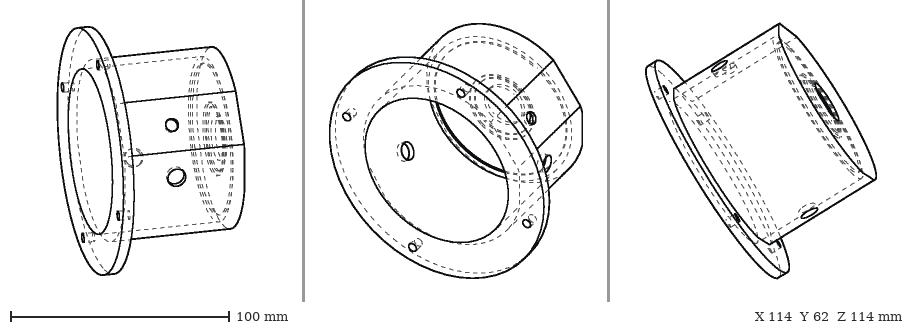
import cadquery as cq
import math

LENGTH = 62.0
FLANGE_RADIUS = 57.0
FLANGE_THICKNESS = 5.0
BARREL_RADIUS = 42.0

BORE_STEPS = [(38.1, 57.0), (35.0, 58.0), (17.0, 59.0), (14.9, 60.0)]
SHAFT_HOLE_RADIUS = 10.0

SCREW_HOLE_RADIUS = 2.0
SCREW_CIRCLE_RADIUS = 49.5
SCREW_COUNT = 4
FIRST_SCREW_ANGLE = 75

FLATS = [(0, 40.9, 4.2), (35, 40.0, 3.0), (210, 40.9, 4.2)]
SIDE_HOLE_Y = 29.8


def cylinder(radius, length):
    """Cylinder on the housing axis, from the flange face toward +Y."""
    return cq.Workplane("XZ").circle(radius).extrude(-length)


def cut_flat(body, angle, distance):
    """Slice the barrel, behind the flange, with a plane facing the given angle."""
    waste = (
        cq.Workplane("XY")
        .box(BARREL_RADIUS, LENGTH - FLANGE_THICKNESS, 2 * BARREL_RADIUS, centered=(False, False, True))
        .translate((distance, FLANGE_THICKNESS, 0))
        .rotate((0, 0, 0), (0, 1, 0), -angle)
    )
    return body.cut(waste)


def cut_side_hole(body, angle, radius):
    """Drill from the axis outward through one side of the barrel wall."""
    direction = cq.Vector(math.cos(math.radians(angle)), 0, math.sin(math.radians(angle)))
    drill = cq.Solid.makeCylinder(radius, BARREL_RADIUS, cq.Vector(0, SIDE_HOLE_Y, 0), direction)
    return body.cut(cq.Workplane(obj=drill))


result = cylinder(BARREL_RADIUS, LENGTH).union(cylinder(FLANGE_RADIUS, FLANGE_THICKNESS))
for flat_angle, flat_distance, _ in FLATS:
    result = cut_flat(result, flat_angle, flat_distance)

for step_radius, step_depth in BORE_STEPS:
    result = result.cut(cylinder(step_radius, step_depth))
result = result.cut(cylinder(SHAFT_HOLE_RADIUS, LENGTH))

for flat_angle, _, hole_radius in FLATS:
    result = cut_side_hole(result, flat_angle, hole_radius)

screw_holes = (
    cq.Workplane("XZ")
    .polarArray(SCREW_CIRCLE_RADIUS, FIRST_SCREW_ANGLE, 360, SCREW_COUNT)
    .circle(SCREW_HOLE_RADIUS)
    .extrude(-FLANGE_THICKNESS)
)
result = result.cut(screw_holes)